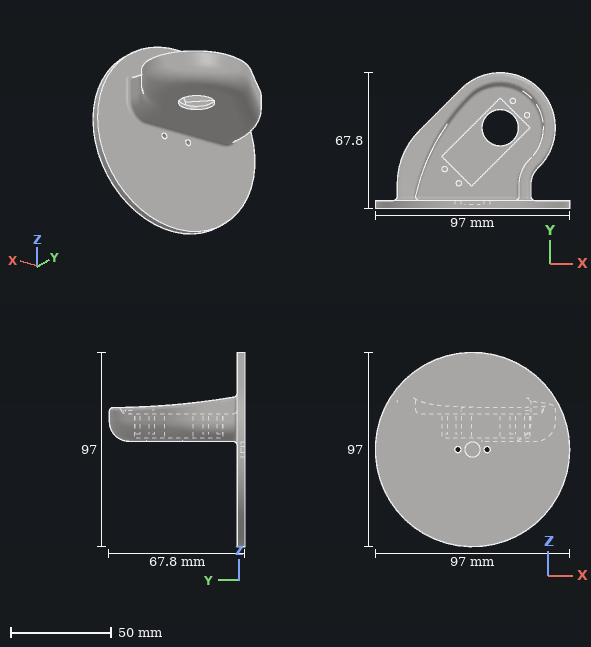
import math

import cadquery as cq

PLATE_DIAMETER = 97.0
PLATE_THICKNESS = 4.0
CENTER_RECESS_DIAMETER = 7.6
CENTER_RECESS_DEPTH = 2.0
PLATE_SCREW_DIAMETER = 3.0
PLATE_SCREW_SPACING = 14.6

PART_DEPTH = 67.76
HEAD_RADIUS = 27.5
HEAD_X = 13.8
HEAD_Y = PART_DEPTH - HEAD_RADIUS
NECK_LEFT_X = -37.6
NECK_RIGHT_X = 29.2
NECK_BASE_Y = 12.1
ARM_BOTTOM_Z = 4.0
ARM_TIP_Z = 21.0
RIM_CURVE_RADIUS = 374.0
BOTTOM_EDGE_RADIUS = 10.0
EDGE_RADIUS = 2.0

WALL_THICKNESS = 6.0
FLOOR_Z = 17.8
RECESS_LEFT_RADIUS = 100.0

POCKET_LENGTH = 41.2
POCKET_WIDTH = 21.0
POCKET_BOTTOM_Z = 5.8
POCKET_ANGLE = 45.0
SHAFT_HOLE_DIAMETER = 18.0
SERVO_SCREW_DIAMETER = 2.7
SERVO_SCREW_DEPTH = 10.0
SERVO_SCREW_ROW_SPACING = 48.0
SERVO_SCREW_PAIR_SPACING = 10.0

DIAGONAL = math.sqrt(0.5)
CUT_MARGIN = 20.0
TOLERANCE = 0.01

HEAD_RISE = HEAD_Y - NECK_BASE_Y
SIDE_GAP = NECK_RIGHT_X - HEAD_X
BLEND_RADIUS = (SIDE_GAP**2 + HEAD_RISE**2 - HEAD_RADIUS**2) / (2 * (HEAD_RADIUS - SIDE_GAP))
BLEND_X = NECK_RIGHT_X + BLEND_RADIUS
BLEND_ANGLE = math.atan2(HEAD_RISE, HEAD_X - BLEND_X)


def around(center_x, center_y, radius, angle):
    """Point on a circle, with the angle in radians."""
    return (center_x + radius * math.cos(angle), center_y + radius * math.sin(angle))


def close_right_side(path, inset):
    """Carry an outline from the upper left of the head clockwise to the plate, then close it."""
    blend_radius = BLEND_RADIUS + inset
    mid_angle = (math.pi + BLEND_ANGLE) / 2
    return (
        path.threePointArc(
            around(HEAD_X, HEAD_Y, HEAD_RADIUS - inset, math.pi / 4),
            around(BLEND_X, NECK_BASE_Y, blend_radius, BLEND_ANGLE),
        )
        .threePointArc(
            around(BLEND_X, NECK_BASE_Y, blend_radius, mid_angle),
            (NECK_RIGHT_X - inset, NECK_BASE_Y),
        )
        .lineTo(NECK_RIGHT_X - inset, PLATE_THICKNESS)
        .close()
    )


def arm_outline():
    head_tangent = around(HEAD_X, HEAD_Y, HEAD_RADIUS, 3 * math.pi / 4)
    line_offset = head_tangent[1] - head_tangent[0]
    left_radius = (line_offset + NECK_LEFT_X - NECK_BASE_Y) / (2 * DIAGONAL - 1)
    left_center_x = NECK_LEFT_X + left_radius
    path = (
        cq.Workplane("XY", origin=(0, 0, ARM_BOTTOM_Z))
        .moveTo(NECK_LEFT_X, PLATE_THICKNESS)
        .lineTo(NECK_LEFT_X, NECK_BASE_Y)
        .threePointArc(
            around(left_center_x, NECK_BASE_Y, left_radius, 7 * math.pi / 8),
            around(left_center_x, NECK_BASE_Y, left_radius, 3 * math.pi / 4),
        )
        .lineTo(*head_tangent)
    )
    return close_right_side(path, 0)


def recess_outline():
    head_tangent = around(HEAD_X, HEAD_Y, HEAD_RADIUS - WALL_THICKNESS, 3 * math.pi / 4)
    center_x = head_tangent[0] + RECESS_LEFT_RADIUS * DIAGONAL
    center_y = head_tangent[1] - RECESS_LEFT_RADIUS * DIAGONAL
    end_angle = math.pi - math.asin((PLATE_THICKNESS - center_y) / RECESS_LEFT_RADIUS)
    mid_angle = (end_angle + 3 * math.pi / 4) / 2
    path = (
        cq.Workplane("XY", origin=(0, 0, FLOOR_Z))
        .moveTo(*around(center_x, center_y, RECESS_LEFT_RADIUS, end_angle))
        .threePointArc(around(center_x, center_y, RECESS_LEFT_RADIUS, mid_angle), head_tangent)
    )
    return close_right_side(path, WALL_THICKNESS)


def rim_height(y):
    """Height of the rim, which sweeps up from the tip of the head to the plate."""
    run = PART_DEPTH - y
    return ARM_TIP_Z + RIM_CURVE_RADIUS - math.sqrt(RIM_CURVE_RADIUS**2 - run**2)


def above_rim():
    """Space above the curved rim, to be cleared from the arm."""
    far_y = PART_DEPTH + CUT_MARGIN
    plate_y = PLATE_THICKNESS - EDGE_RADIUS
    top_z = rim_height(plate_y) + CUT_MARGIN
    middle_y = (plate_y + far_y) / 2
    return (
        cq.Workplane("YZ")
        .moveTo(plate_y, rim_height(plate_y))
        .threePointArc((middle_y, rim_height(middle_y)), (far_y, rim_height(far_y)))
        .lineTo(far_y, top_z)
        .lineTo(plate_y, top_z)
        .close()
        .extrude(PLATE_DIAMETER / 2, both=True)
    )


def in_plate_plane(edge):
    box = edge.BoundingBox()
    return abs(box.ymin - PLATE_THICKNESS) < TOLERANCE and abs(box.ymax - PLATE_THICKNESS) < TOLERANCE


def edges_of(body, belongs):
    """Edges of the body that pass the test and do not lie in the plate plane."""
    chosen = [edge for edge in body.edges().vals() if belongs(edge) and not in_plate_plane(edge)]
    return body.newObject(chosen)


def is_on_bottom(edge):
    return edge.BoundingBox().zmax < ARM_BOTTOM_Z + TOLERANCE


def is_on_floor(edge):
    box = edge.BoundingBox()
    return abs(box.zmin - FLOOR_Z) < TOLERANCE and abs(box.zmax - FLOOR_Z) < TOLERANCE


def is_on_rim(edge):
    middle = edge.Center()
    ends = (edge.startPoint(), edge.endPoint())
    return middle.z > FLOOR_Z + EDGE_RADIUS and all(abs(p.z - rim_height(p.y)) < TOLERANCE for p in ends)


def make_arm():
    height = rim_height(0) - ARM_BOTTOM_Z
    arm = arm_outline().extrude(height)
    arm = arm.cut(recess_outline().extrude(height)).cut(above_rim())
    arm = edges_of(arm, is_on_bottom).fillet(BOTTOM_EDGE_RADIUS)
    arm = edges_of(arm, is_on_floor).fillet(EDGE_RADIUS)
    return edges_of(arm, is_on_rim).fillet(EDGE_RADIUS)


def make_plate():
    return cq.Workplane("XZ").circle(PLATE_DIAMETER / 2).extrude(-PLATE_THICKNESS)


def join(arm, plate):
    """Unite arm and plate, with a fillet all round the foot of the arm."""
    body = plate.union(arm)
    foot = [
        edge
        for edge in body.edges().vals()
        if in_plate_plane(edge) and edge.BoundingBox().xlen < PLATE_DIAMETER - TOLERANCE
    ]
    return body.newObject(foot).fillet(EDGE_RADIUS)


def cut_plate_holes(body):
    recess = cq.Workplane("XZ").circle(CENTER_RECESS_DIAMETER / 2).extrude(-CENTER_RECESS_DEPTH)
    screws = (
        cq.Workplane("XZ")
        .rarray(PLATE_SCREW_SPACING, 1, 2, 1)
        .circle(PLATE_SCREW_DIAMETER / 2)
        .extrude(-PLATE_THICKNESS)
    )
    return body.cut(recess).cut(screws)


def cut_servo_mount(body):
    pocket_shift = (POCKET_LENGTH - POCKET_WIDTH) / 2
    mount = (
        cq.Workplane("XY", origin=(HEAD_X, HEAD_Y, FLOOR_Z))
        .transformed(rotate=(0, 0, POCKET_ANGLE))
        .center(-pocket_shift, 0)
    )
    pocket = mount.rect(POCKET_LENGTH, POCKET_WIDTH).extrude(POCKET_BOTTOM_Z - FLOOR_Z)
    screws = (
        mount.rarray(SERVO_SCREW_ROW_SPACING, SERVO_SCREW_PAIR_SPACING, 2, 2)
        .circle(SERVO_SCREW_DIAMETER / 2)
        .extrude(-SERVO_SCREW_DEPTH)
    )
    shaft_hole = (
        cq.Workplane("XY")
        .center(HEAD_X, HEAD_Y)
        .circle(SHAFT_HOLE_DIAMETER / 2)
        .extrude(FLOOR_Z)
    )
    return body.cut(pocket).cut(screws).cut(shaft_hole)


result = cut_servo_mount(cut_plate_holes(join(make_arm(), make_plate())))